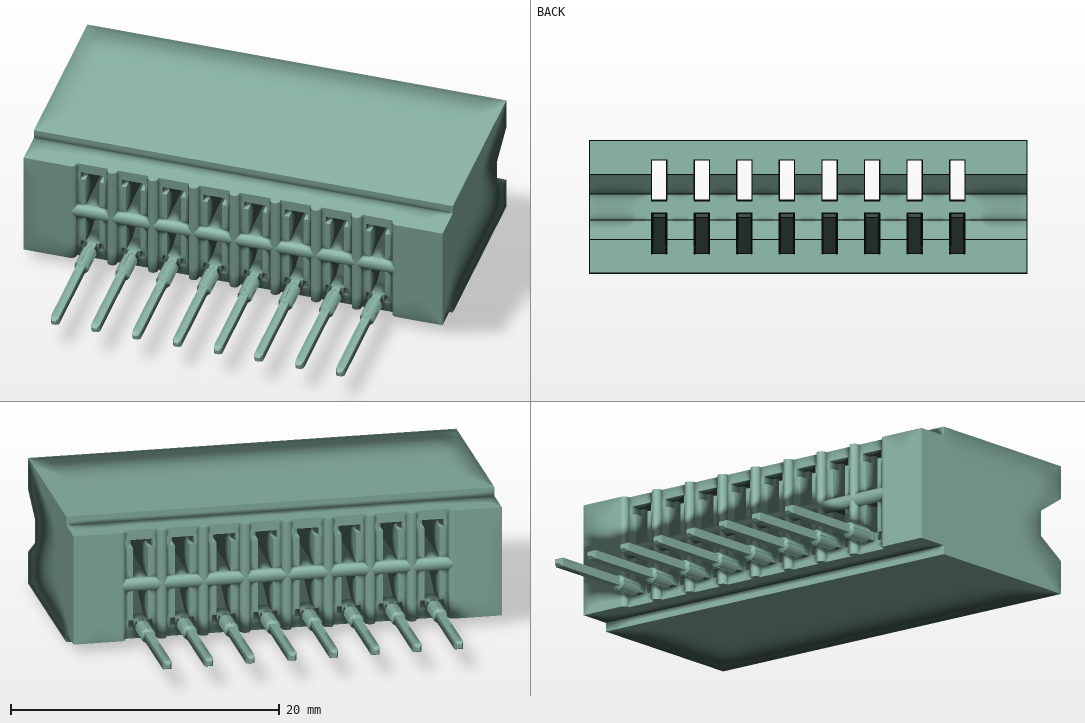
import cadquery as cq
import math

housing_width = 32.64
housing_height = 9.91
overall_length = 25.9
pin_length = 9.5
housing_length = overall_length - pin_length
front_y = 0.0
back_y = front_y + housing_length

nose_length = 2.62
nose_step = 0.69

groove_mouth = 4.85
groove_floor = 1.93
groove_depth = 2.39

contact_count = 8
pitch = 3.175
row_span = contact_count * pitch
contact_xs = [(i - (contact_count - 1) / 2) * pitch for i in range(contact_count)]
rib_xs = [(i - contact_count / 2) * pitch for i in range(contact_count + 1)]

recess_depth = 0.51
rib_width = 0.76
bar_diameter = 2 * recess_depth

post_size = 0.64
pin_z = -3.17
post_tip_length = 0.36
post_tip_taper = 0.16
barrel_diameter = 1.13
barrel_start = 0.12
barrel_end = 2.5
barrel_front_taper = 0.25
barrel_rear_taper = 0.2
barrel_groove_width = 0.1
barrel_groove_depth = 0.06
barrel_groove_count = 4

arm_width = 1.0
arm_thickness = 0.3
arm_straight = 2.0
arm_rise_length = 4.0
arm_gap = 0.03

slot_width = 1.12
web_height = 0.9
slot_outer_z = post_size / 2 - pin_z
slot_height = slot_outer_z - web_height / 2
ear_width = 1.83
ear_depth = 1.0


def box(size_x, y_start, y_end, size_z, x=0.0, z=0.0):
    """Block centred on x and z that runs from y_start to y_end."""
    block = cq.Workplane("XY").box(size_x, y_end - y_start, size_z)
    return block.translate((x, (y_start + y_end) / 2, z))


def make_recess():
    """Volume removed from the nose: a shallow channel less its upright ribs."""
    nose_height = housing_height - 2 * nose_step
    recess = box(row_span, front_y, front_y + recess_depth, nose_height)
    radius = rib_width / 2
    round_y = front_y + radius
    floor_y = front_y + recess_depth
    rib = (
        cq.Workplane("XY")
        .moveTo(-radius, floor_y)
        .lineTo(-radius, round_y)
        .threePointArc((0, front_y), (radius, round_y))
        .lineTo(radius, floor_y)
        .close()
        .extrude(nose_height / 2, both=True)
    )
    for x in rib_xs:
        recess = recess.cut(rib.translate((x, 0, 0)))
    return recess


def make_cross_bar():
    """Round bar along the whole row, flush with the front face."""
    radius = bar_diameter / 2
    return (
        cq.Workplane("YZ")
        .center(front_y + radius, 0)
        .circle(radius)
        .extrude(row_span / 2, both=True)
    )


def make_groove():
    """V groove with a flat floor, running across the whole mating end."""
    floor_y = back_y - groove_depth
    return (
        cq.Workplane("YZ")
        .polyline([
            (back_y, groove_mouth / 2),
            (floor_y, groove_floor / 2),
            (floor_y, -groove_floor / 2),
            (back_y, -groove_mouth / 2),
        ])
        .close()
        .extrude(housing_width / 2, both=True)
    )


def make_contact_slot(x, side):
    """Through slot above (side = 1) or below (side = -1) the web, with blind ears at its outer end."""
    slot_z = side * (slot_outer_z - slot_height / 2)
    slot = box(slot_width, front_y, back_y, slot_height, x, slot_z)
    ear_z = side * (slot_outer_z - post_size / 2)
    ears = box(ear_width, front_y, front_y + recess_depth + ear_depth, post_size, x, ear_z)
    return slot.union(ears)


def make_housing():
    body = box(housing_width, front_y + nose_length, back_y, housing_height)
    nose = box(housing_width, front_y, front_y + nose_length, housing_height - 2 * nose_step)
    body = body.union(nose).cut(make_recess()).cut(make_groove())
    for x in contact_xs:
        for side in (1, -1):
            body = body.cut(make_contact_slot(x, side))
    return body.union(make_cross_bar())


def make_barrel():
    """Round collar on the post, tapered at both ends and grooved lengthwise."""
    radius = barrel_diameter / 2
    neck = post_size / 2
    start_y = front_y - barrel_start
    end_y = front_y - barrel_end
    barrel = (
        cq.Workplane("XY")
        .polyline([
            (0, start_y),
            (neck, start_y),
            (radius, start_y - barrel_rear_taper),
            (radius, end_y + barrel_front_taper),
            (neck, end_y),
            (0, end_y),
        ])
        .close()
        .revolve(360, (0, 0, 0), (0, 1, 0))
    )
    groove = box(barrel_groove_width, end_y, start_y, 2 * barrel_groove_depth, z=radius)
    for i in range(barrel_groove_count):
        angle = i * 360 / barrel_groove_count
        barrel = barrel.cut(groove.rotate((0, 0, 0), (0, 1, 0), angle))
    return barrel.translate((0, 0, pin_z))


def make_spring_arm():
    """Strip that leaves the post and slopes up towards the middle of the housing."""
    bend_y = front_y + arm_straight
    end_y = bend_y + arm_rise_length
    low_z = pin_z - post_size / 2
    arm_end_z = -web_height / 2 - arm_gap
    return (
        cq.Workplane("YZ")
        .polyline([
            (front_y + recess_depth, low_z),
            (bend_y, low_z),
            (end_y, arm_end_z - arm_thickness),
            (end_y, arm_end_z),
            (bend_y, low_z + post_size),
            (front_y + recess_depth, low_z + post_size),
        ])
        .close()
        .extrude(arm_width / 2, both=True)
    )


def make_contact(x):
    """Square post with a tapered tip, its collar and its spring arm."""
    tip_y = front_y - pin_length
    shoulder_y = tip_y + post_tip_length
    taper_angle = math.degrees(math.atan2(post_tip_taper, post_tip_length))
    post = box(post_size, shoulder_y, front_y + arm_straight, post_size, z=pin_z)
    post = (
        post.faces("<Y")
        .workplane(centerOption="CenterOfMass")
        .rect(post_size, post_size)
        .extrude(post_tip_length, taper=taper_angle)
    )
    contact = post.union(make_barrel()).union(make_spring_arm())
    return contact.translate((x, 0, 0))


housing = make_housing()
contacts = [make_contact(x) for x in contact_xs]

result = cq.Compound.makeCompound([housing.val(), *[contact.val() for contact in contacts]])